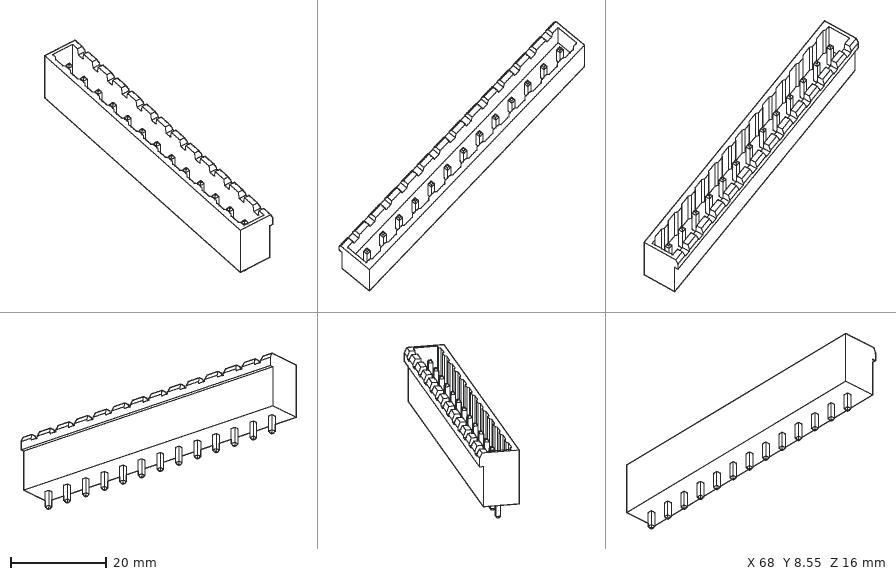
import cadquery as cq

length = 68.05
body_depth = 7.75
body_height = 12.05

lip_reach = 0.8
lip_height = 3.05
lip_chamfer_run = 0.55
lip_chamfer_height = 1.15
back_face = body_depth + lip_reach

end_wall = 0.75
front_wall = 1.55
back_wall = 0.95
cavity_depth = 8.5
cavity_floor = body_height - cavity_depth
cavity_back = body_depth - back_wall

pin_count = 13
first_pin_x = 3.55
pitch = (length - 2 * first_pin_x) / (pin_count - 1)
pin_y = 3.8
pin_width = 1.0
pin_below = 3.95
pin_top_below_rim = 2.0
pin_tip_inset = 0.3
pin_tip_height = 0.5

recess_depth = 0.4
recess_mouth = 3.55
recess_floor = 2.45

notch_depth = 1.55
notch_bottom = 1.5
notch_top = 2.1

pin_positions = [first_pin_x + i * pitch for i in range(pin_count)]


def make_housing():
    """Solid block with the lip profile, swept along the length."""
    lip_bottom = body_height - lip_height
    return (
        cq.Workplane("YZ")
        .polyline([
            (0, 0),
            (body_depth, 0),
            (body_depth, lip_bottom),
            (back_face, lip_bottom),
            (back_face, body_height - lip_chamfer_height),
            (back_face - lip_chamfer_run, body_height),
            (0, body_height),
        ])
        .close()
        .extrude(length)
    )


def make_cavity():
    """Rectangular opening in the top of the housing."""
    return cq.Workplane("XY").box(
        length - 2 * end_wall,
        cavity_back - front_wall,
        cavity_depth,
        centered=False,
    ).translate((end_wall, front_wall, cavity_floor))


def make_recess(x):
    """Tapered keying recess in the front wall, as deep as the cavity."""
    return (
        cq.Workplane("XY", origin=(x, front_wall, cavity_floor))
        .polyline([
            (-recess_mouth / 2, 0),
            (-recess_floor / 2, -recess_depth),
            (recess_floor / 2, -recess_depth),
            (recess_mouth / 2, 0),
        ])
        .close()
        .extrude(cavity_depth)
    )


def make_notch(x):
    """Notch through the back wall and lip, wider at the top."""
    return (
        cq.Workplane("XZ", origin=(x, back_face, body_height))
        .polyline([
            (-notch_bottom / 2, -notch_depth),
            (notch_bottom / 2, -notch_depth),
            (notch_top / 2, 0),
            (-notch_top / 2, 0),
        ])
        .close()
        .extrude(back_face - cavity_back)
    )


def make_pin(x):
    """Square pin with a tapered tip at both ends."""
    tip_width = pin_width - 2 * pin_tip_inset
    shaft_bottom = pin_tip_height - pin_below
    shaft_top = body_height - pin_top_below_rim - pin_tip_height
    shaft = cq.Workplane("XY", origin=(x, pin_y, shaft_bottom)).rect(pin_width, pin_width)
    pin = shaft.extrude(shaft_top - shaft_bottom)
    for shaft_end, tip_end in [(shaft_bottom, -pin_tip_height), (shaft_top, pin_tip_height)]:
        tip = (
            cq.Workplane("XY", origin=(x, pin_y, shaft_end))
            .rect(pin_width, pin_width)
            .workplane(offset=tip_end)
            .rect(tip_width, tip_width)
            .loft()
        )
        pin = pin.union(tip)
    return pin


result = make_housing().cut(make_cavity())
for pin_x in pin_positions:
    result = result.cut(make_recess(pin_x)).cut(make_notch(pin_x))
for pin_x in pin_positions:
    result = result.union(make_pin(pin_x))